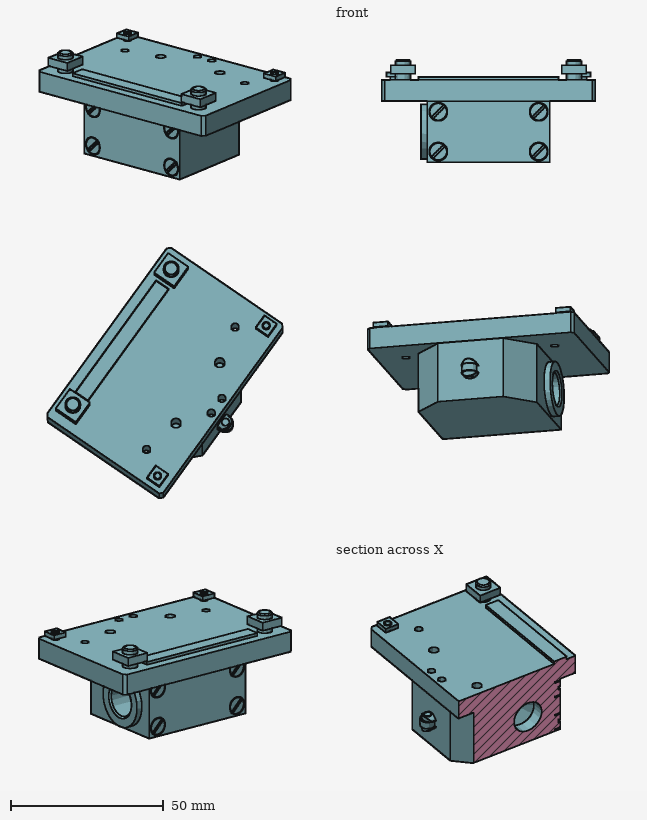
import cadquery as cq
import math


PLATE_X = 70.0
PLATE_Y = 46.5
PLATE_Z = 7.0
PLATE_CORNER = 1.0

PLATE_HOLES = [
    (2.5, 3.0, 20.65),
    (3.2, 12.45, 13.15),
    (2.5, 25.2, 10.35),
]

HOUSING_X = 40.2
HOUSING_Y = 40.0
HOUSING_Z = 20.0
HOUSING_SETBACK = 0.5
HOUSING_CORNER = 9.0
HOUSING_BACK = PLATE_Y / 2 - HOUSING_SETBACK
HOUSING_FRONT = HOUSING_BACK - HOUSING_Y
HOUSING_MID_Z = -HOUSING_Z / 2

COLLAR_DIA = 18.0
COLLAR_LENGTH = 2.0
COLLAR_Y = -4.35
ENTRY_DIA = 10.8
ENTRY_MOUTH_DIA = 12.0
ENTRY_DEPTH = 10.0
ENTRY_TIP_ANGLE = 120.0

SCREW_X = 16.45
SCREW_SPACING_Z = 13.0
SCREW_SEAT_DIA = 6.0
SCREW_HEAD_DIA = 5.5
SCREW_SEAT_DEPTH = 2.0
SCREW_SLOT_WIDTH = 0.8
SCREW_SLOT_DEPTH = 0.7
SCREW_SLOT_ANGLE = 45.0

PLUNGER_DIA = 5.95
PLUNGER_NOSE_RADIUS = 2.5
ROLLER_DIA = 5.0
ROLLER_WIDTH = 2.45
ROLLER_REACH = 3.5
ROLLER_LEAD = 0.7
ROLLER_PIN_DIA = 2.45
ROLLER_PIN_LENGTH = 6.0
ROLLER_TIP_Y = PLATE_Y / 2 + ROLLER_REACH

FRONT_CLAMP_X = 28.0
FRONT_CLAMP_Y = -17.2
FRONT_POST_DIA = 5.05
FRONT_POST_HEIGHT = 6.5
FRONT_POST_CHAMFER = 0.5
FRONT_NUT_SIDE = 8.05
FRONT_NUT_GAP = 1.95
FRONT_NUT_THICKNESS = 2.8

REAR_CLAMP_X = 30.95
REAR_CLAMP_Y = 18.75
REAR_POST_DIA = 2.5
REAR_POST_CHAMFER = 0.3
REAR_NUT_SIDE = 5.0
REAR_NUT_GAP = 0.9
REAR_NUT_THICKNESS = 1.55

STRIP_X = 46.0
STRIP_Y = 5.05
STRIP_Z = 1.0


def block(size_x, size_y, size_z, x, y, z):
    """Box centred on (x, y) with its underside at z."""
    return cq.Workplane("XY").box(size_x, size_y, size_z, (True, True, False)).translate((x, y, z))


def rod(diameter, length, start, direction):
    """Solid cylinder that begins at start and runs along direction."""
    solid = cq.Solid.makeCylinder(diameter / 2, length, cq.Vector(*start), cq.Vector(*direction))
    return cq.Workplane(obj=solid)


def plate():
    body = block(PLATE_X, PLATE_Y, PLATE_Z, 0, 0, 0).edges("|Z").chamfer(PLATE_CORNER)
    for diameter, offset, y in PLATE_HOLES:
        for side in (-1, 1):
            body = body.cut(rod(diameter, PLATE_Z, (side * offset, y, 0), (0, 0, 1)))
    return body


def housing():
    mid_y = (HOUSING_BACK + HOUSING_FRONT) / 2
    body = block(HOUSING_X, HOUSING_Y, HOUSING_Z, 0, mid_y, -HOUSING_Z)
    body = body.edges("|Z and >Y").chamfer(HOUSING_CORNER)
    face_x = -HOUSING_X / 2 - COLLAR_LENGTH
    collar = rod(COLLAR_DIA, COLLAR_LENGTH, (face_x, COLLAR_Y, HOUSING_MID_Z), (1, 0, 0))
    return body.union(collar).cut(cable_entry(face_x))


def cable_entry(face_x):
    """Blind drilled hole with a countersunk mouth and a conical end, turned about its X axis."""
    radius = ENTRY_DIA / 2
    mouth_radius = ENTRY_MOUTH_DIA / 2
    tip_length = radius / math.tan(math.radians(ENTRY_TIP_ANGLE / 2))
    profile = (
        cq.Workplane("XY")
        .lineTo(0, mouth_radius)
        .lineTo(mouth_radius - radius, radius)
        .lineTo(ENTRY_DEPTH, radius)
        .lineTo(ENTRY_DEPTH + tip_length, 0)
        .close()
    )
    return profile.revolve(360, (0, 0, 0), (1, 0, 0)).translate((face_x, COLLAR_Y, HOUSING_MID_Z))


def cover_screw_gaps(x, z):
    """Material missing around and in one flush screw: the clearance ring and the driver slot."""
    face = (x, HOUSING_FRONT, z)
    ring = rod(SCREW_SEAT_DIA, SCREW_SEAT_DEPTH, face, (0, 1, 0))
    head = rod(SCREW_HEAD_DIA, SCREW_SEAT_DEPTH, face, (0, 1, 0))
    slot = cq.Workplane("XY").box(SCREW_HEAD_DIA, SCREW_SLOT_DEPTH, SCREW_SLOT_WIDTH, (True, False, True))
    slot = slot.rotate((0, 0, 0), (0, 1, 0), -SCREW_SLOT_ANGLE).translate(face)
    return ring.cut(head).union(slot.intersect(head))


def roller_plunger():
    """Round plunger with a rounded 45 degree nose, slotted for a roller on a vertical pin."""
    nose_y = ROLLER_TIP_Y - ROLLER_LEAD
    nose_centre_y = nose_y - PLUNGER_NOSE_RADIUS
    tangent = PLUNGER_NOSE_RADIUS * math.sqrt(0.5)
    half_width = PLUNGER_DIA / 2
    shoulder_y = nose_centre_y + 2 * tangent - half_width
    outline = (
        cq.Workplane("XY")
        .moveTo(-half_width, HOUSING_BACK)
        .lineTo(-half_width, shoulder_y)
        .lineTo(-tangent, nose_centre_y + tangent)
        .threePointArc((0, nose_y), (tangent, nose_centre_y + tangent))
        .lineTo(half_width, shoulder_y)
        .lineTo(half_width, HOUSING_BACK)
        .close()
        .extrude(half_width, both=True)
        .translate((0, 0, HOUSING_MID_Z))
    )
    barrel = rod(PLUNGER_DIA, nose_y - HOUSING_BACK, (0, HOUSING_BACK, HOUSING_MID_Z), (0, 1, 0))
    slot_length = 2 * (nose_y - HOUSING_BACK)
    slot_z = HOUSING_MID_Z - ROLLER_WIDTH / 2
    slot = block(PLUNGER_DIA, slot_length, ROLLER_WIDTH, 0, HOUSING_BACK, slot_z)
    plunger = barrel.intersect(outline).cut(slot)
    roller_y = ROLLER_TIP_Y - ROLLER_DIA / 2
    for diameter, length in ((ROLLER_DIA, ROLLER_WIDTH), (ROLLER_PIN_DIA, ROLLER_PIN_LENGTH)):
        plunger = plunger.union(rod(diameter, length, (0, roller_y, HOUSING_MID_Z - length / 2), (0, 0, 1)))
    return plunger


def front_clamp(x):
    post = rod(FRONT_POST_DIA, FRONT_POST_HEIGHT, (x, FRONT_CLAMP_Y, PLATE_Z), (0, 0, 1))
    post = post.faces(">Z").chamfer(FRONT_POST_CHAMFER)
    nut_z = PLATE_Z + FRONT_NUT_GAP
    nut = block(FRONT_NUT_SIDE, FRONT_NUT_SIDE, FRONT_NUT_THICKNESS, x, FRONT_CLAMP_Y, nut_z)
    return post.union(nut)


def rear_clamp(x):
    height = REAR_NUT_GAP + REAR_NUT_THICKNESS
    post = rod(REAR_POST_DIA, height, (x, REAR_CLAMP_Y, PLATE_Z), (0, 0, 1))
    nut_z = PLATE_Z + REAR_NUT_GAP
    nut = block(REAR_NUT_SIDE, REAR_NUT_SIDE, REAR_NUT_THICKNESS, x, REAR_CLAMP_Y, nut_z)
    return nut.cut(post).union(post.faces(">Z").chamfer(REAR_POST_CHAMFER))


result = plate().union(housing()).union(roller_plunger())
result = result.union(block(STRIP_X, STRIP_Y, STRIP_Z, 0, FRONT_CLAMP_Y, PLATE_Z))
for side in (-1, 1):
    result = result.union(front_clamp(side * FRONT_CLAMP_X))
    result = result.union(rear_clamp(side * REAR_CLAMP_X))
    for level in (-1, 1):
        screw_z = HOUSING_MID_Z + level * SCREW_SPACING_Z / 2
        result = result.cut(cover_screw_gaps(side * SCREW_X, screw_z))